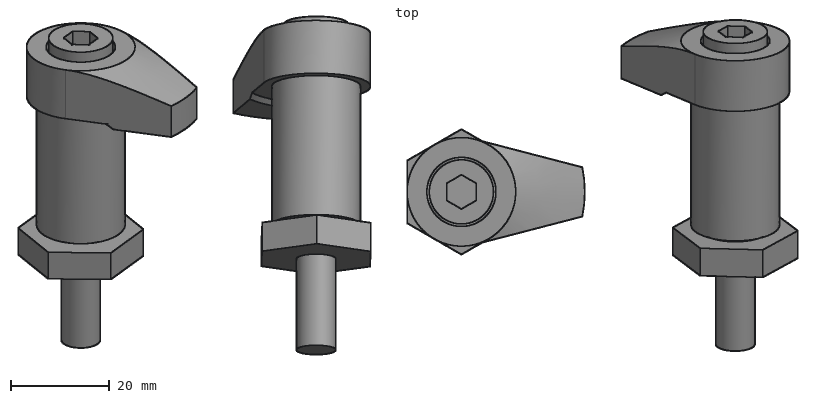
import cadquery as cq
import math

SCREW_LENGTH = 60.0
SCREW_HEAD_HEIGHT = 8.0
SCREW_TOP_Z = SCREW_LENGTH + SCREW_HEAD_HEIGHT
HEAD_PROTRUSION = 2.0
HUB_TOP_Z = SCREW_TOP_Z - HEAD_PROTRUSION
HUB_HEIGHT = 11.0
HUB_BOTTOM_Z = HUB_TOP_Z - HUB_HEIGHT
SLEEVE_LENGTH = 29.0
SLEEVE_BOTTOM_Z = HUB_BOTTOM_Z - SLEEVE_LENGTH
COLLAR_HEIGHT = 1.0
NUT_HEIGHT = 6.0
NUT_TOP_Z = SLEEVE_BOTTOM_Z - COLLAR_HEIGHT
NUT_BOTTOM_Z = NUT_TOP_Z - NUT_HEIGHT

SCREW_DIAMETER = 8.0
SCREW_HEAD_DIAMETER = 13.0
SOCKET_ACROSS_FLATS = 6.0
SOCKET_DEPTH = 4.0

HUB_RADIUS = 11.0
SLEEVE_DIAMETER = 18.0
COUNTERBORE_DIAMETER = 14.0
ARM_REACH = 25.0
ARM_TIP_WIDTH = 10.0
ARM_TOP_DROP = 5.0
ARM_STEP_DROP = 1.0
ARM_STEP_START_RADIUS = 14.0
ARM_STEP_END_RADIUS = ARM_STEP_START_RADIUS + ARM_STEP_DROP

NUT_ACROSS_FLATS = 22.0
COLLAR_DIAMETER = 14.0


def cylinder(diameter, bottom_z, top_z):
    """Cylinder on the Z axis between two heights."""
    return cq.Workplane("XY").workplane(offset=bottom_z).circle(diameter / 2).extrude(top_z - bottom_z)


def hexagon(across_flats, bottom_z, top_z):
    """Hexagonal prism on the Z axis with flats facing +X and -X."""
    across_corners = across_flats / math.cos(math.pi / 6)
    return (
        cq.Workplane("XY")
        .workplane(offset=bottom_z)
        .transformed(rotate=(0, 0, 90))
        .polygon(6, across_corners)
        .extrude(top_z - bottom_z)
    )


def make_arm_outline():
    """Prism of the hub and arm: flanks tangent to the hub and a tip arc centred on the axis."""
    tip_y = ARM_TIP_WIDTH / 2
    tip_x = math.sqrt(ARM_REACH**2 - tip_y**2)
    tangent_angle = math.asin(tip_y / ARM_REACH) + math.acos(HUB_RADIUS / ARM_REACH)
    tangent_x = HUB_RADIUS * math.cos(tangent_angle)
    tangent_y = HUB_RADIUS * math.sin(tangent_angle)
    bottom_z = HUB_BOTTOM_Z - ARM_STEP_DROP
    return (
        cq.Workplane("XY")
        .workplane(offset=bottom_z)
        .moveTo(tangent_x, -tangent_y)
        .lineTo(tip_x, -tip_y)
        .threePointArc((ARM_REACH, 0), (tip_x, tip_y))
        .lineTo(tangent_x, tangent_y)
        .threePointArc((-HUB_RADIUS, 0), (tangent_x, -tangent_y))
        .close()
        .extrude(HUB_TOP_Z - bottom_z)
    )


def make_arm_envelope():
    """Revolved limit of the arm: flat hub, conical top outside it, and a stepped underside."""
    tip_top_z = HUB_TOP_Z - ARM_TOP_DROP
    tip_bottom_z = HUB_BOTTOM_Z - ARM_STEP_DROP
    overrun = 1.0
    outer_radius = ARM_REACH + overrun
    top_slope = (HUB_TOP_Z - tip_top_z) / (ARM_REACH - HUB_RADIUS)
    return (
        cq.Workplane("XZ")
        .moveTo(0, HUB_BOTTOM_Z)
        .lineTo(ARM_STEP_START_RADIUS, HUB_BOTTOM_Z)
        .lineTo(ARM_STEP_END_RADIUS, tip_bottom_z)
        .lineTo(outer_radius, tip_bottom_z)
        .lineTo(outer_radius, tip_top_z - top_slope * overrun)
        .lineTo(HUB_RADIUS, HUB_TOP_Z)
        .lineTo(0, HUB_TOP_Z)
        .close()
        .revolve(360, (0, 0, 0), (0, 1, 0))
    )


def make_lever():
    """Clamping lever: hub with arm, sleeve below it, screw bore and counterbore for the head."""
    arm = make_arm_outline().intersect(make_arm_envelope())
    lever = arm.union(cylinder(SLEEVE_DIAMETER, SLEEVE_BOTTOM_Z, HUB_BOTTOM_Z))
    bore = cylinder(SCREW_DIAMETER, SLEEVE_BOTTOM_Z, HUB_TOP_Z)
    counterbore = cylinder(COUNTERBORE_DIAMETER, SCREW_LENGTH, HUB_TOP_Z)
    return lever.cut(bore).cut(counterbore)


def make_nut():
    """Hexagonal nut with a round collar that meets the sleeve, bored for the screw."""
    nut = hexagon(NUT_ACROSS_FLATS, NUT_BOTTOM_Z, NUT_TOP_Z)
    collar = cylinder(COLLAR_DIAMETER, NUT_TOP_Z, SLEEVE_BOTTOM_Z)
    bore = cylinder(SCREW_DIAMETER, NUT_BOTTOM_Z, SLEEVE_BOTTOM_Z)
    return nut.union(collar).cut(bore)


def make_screw():
    """Socket head cap screw running through the lever and the nut."""
    shank = cylinder(SCREW_DIAMETER, 0, SCREW_LENGTH)
    head = cylinder(SCREW_HEAD_DIAMETER, SCREW_LENGTH, SCREW_TOP_Z)
    socket = hexagon(SOCKET_ACROSS_FLATS, SCREW_TOP_Z - SOCKET_DEPTH, SCREW_TOP_Z)
    return shank.union(head).cut(socket)


lever = make_lever()
nut = make_nut()
screw = make_screw()

result = cq.Compound.makeCompound([body.solids().val() for body in (lever, nut, screw)])